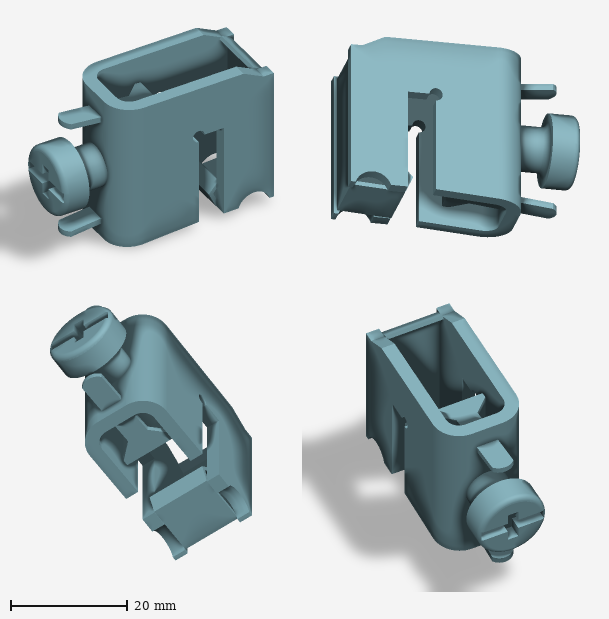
import cadquery as cq
import math


width = 16.0
depth = 31.0
height = 28.0
wall = 2.5
corner_radius = 5.0
front_drop = 1.0
rear_step_height = 26.0
rear_step_depth = 2.0
chamfer_depth = 4.0
slot_front = 16.0
slot_width = 5.0
slot_height = 18.0
relief_radius = 1.15
notch_y = 27.05
notch_half_width = 3.1
notch_height = 2.25
inner_width = width - 2 * wall

strip_thickness = 0.75
strip_outer_path = [
    (28.45, 26.55),
    (30.42, 25.55),
    (30.42, 0.6),
    (20.85, 0.1),
    (19.48, 3.05),
    (21.4, 5.2),
]

screw_z = 13.0
shank_diameter = 8.0
head_diameter = 13.0
head_front = 10.0
head_length = 5.0
head_rounding = 1.0
cross_width = 2.0
cross_length = 12.0
cross_height = 6.1
cross_depth = 2.5

plate_rear = 12.0
plate_thickness = 1.1
plate_width = 10.0
tab_width = 4.05
tab_tip = 7.0
tab_rounding_depth = 1.0
tab_offset = 10.65
tab_slope = math.radians(6)
plate_front = plate_rear - plate_thickness


def side_prism(prism_width):
    """Workplane with local axes (Y, Z), placed so that an extrusion is centred on X = 0."""
    return cq.Workplane("YZ").workplane(offset=-prism_width / 2)


def offset_path(path, distance):
    """Shift an open path to its left with mitred corners."""
    headings = [
        math.atan2(end[1] - start[1], end[0] - start[0])
        for start, end in zip(path, path[1:])
    ]
    before = headings[:1] + headings
    after = headings + headings[-1:]
    shifted = []
    for (y, z), arriving, leaving in zip(path, before, after):
        turn = math.remainder(leaving - arriving, 2 * math.pi)
        normal = arriving + turn / 2 + math.pi / 2
        reach = distance / math.cos(turn / 2)
        shifted.append((y + reach * math.cos(normal), z + reach * math.sin(normal)))
    return shifted


def make_strip():
    inner_path = offset_path(strip_outer_path, -strip_thickness)
    outline = strip_outer_path + inner_path[::-1]
    return side_prism(inner_width).polyline(outline).close().extrude(inner_width)


def make_u_channel():
    """Side walls and front wall, open at the rear, with rounded front corners."""
    full_height = height + front_drop
    outer = (
        cq.Workplane("XY", origin=(0, 0, -front_drop))
        .rect(width, 2 * depth)
        .extrude(full_height)
        .edges("|Z and <Y").fillet(corner_radius)
        .translate((0, depth, 0))
    )
    cavity = (
        cq.Workplane("XY", origin=(0, 0, -front_drop))
        .rect(inner_width, 2 * depth)
        .extrude(full_height)
        .edges("|Z and <Y").fillet(corner_radius - wall)
        .translate((0, depth + wall, 0))
    )
    return outer.cut(cavity)


def make_side_outline():
    """Side silhouette of the housing, with the rail slot and the bottom notch."""
    slot_rear = slot_front + slot_width
    body = (
        side_prism(width)
        .moveTo(0, -front_drop)
        .lineTo(slot_front, 0)
        .lineTo(slot_front, slot_height)
        .lineTo(slot_rear, slot_height)
        .lineTo(slot_rear, 0)
        .lineTo(notch_y - notch_half_width, 0)
        .threePointArc((notch_y, notch_height), (notch_y + notch_half_width, 0))
        .lineTo(depth, 0)
        .lineTo(depth, rear_step_height)
        .lineTo(depth - rear_step_depth, rear_step_height)
        .lineTo(depth - rear_step_depth - chamfer_depth, height)
        .lineTo(0, height)
        .close()
        .extrude(width)
    )
    relief = side_prism(width).center(slot_front, slot_height).circle(relief_radius).extrude(width)
    return body.cut(relief)


def make_screw():
    shank_radius = shank_diameter / 2
    head_radius = head_diameter / 2
    head_rear = head_front - head_length
    body = (
        cq.Workplane("XY")
        .moveTo(0, plate_front)
        .lineTo(shank_radius, plate_front)
        .lineTo(shank_radius, -head_rear + head_rounding)
        .radiusArc((shank_radius + head_rounding, -head_rear), -head_rounding)
        .lineTo(head_radius, -head_rear)
        .lineTo(head_radius, -head_front + head_rounding)
        .radiusArc((head_radius - head_rounding, -head_front), head_rounding)
        .lineTo(0, -head_front)
        .close()
        .revolve(360, (0, 0, 0), (0, 1, 0))
    )
    for arm_length, arm_height in ((cross_length, cross_width), (cross_width, cross_height)):
        arm = cq.Workplane("XY").box(arm_length, cross_depth, arm_height)
        body = body.cut(arm.translate((0, -head_front + cross_depth / 2, 0)))
    return body.translate((0, 0, screw_z))


def make_pressure_plate():
    """Bracket profile across the full width, trimmed to its T-shaped plan outline."""
    half_thickness = plate_thickness / math.cos(tab_slope) / 2
    tip_height = tab_offset + tab_tip * math.tan(tab_slope)
    rear_height = tab_offset - plate_rear * math.tan(tab_slope)
    front_height = tab_offset - plate_front * math.tan(tab_slope)
    upper_half = [
        (plate_rear, rear_height + half_thickness),
        (-tab_tip, tip_height + half_thickness),
        (-tab_tip, tip_height - half_thickness),
        (plate_front, front_height - half_thickness),
    ]
    lower_half = [(y, -z) for y, z in reversed(upper_half)]
    bracket = side_prism(plate_width).polyline(upper_half + lower_half).close().extrude(plate_width)

    half_plate = plate_width / 2
    half_tab = tab_width / 2
    taper_end = plate_front - (half_plate - half_tab)
    arc_start = -tab_tip + tab_rounding_depth
    plan = (
        cq.Workplane("XY")
        .moveTo(-half_plate, plate_rear)
        .lineTo(-half_plate, plate_front)
        .lineTo(-half_tab, taper_end)
        .lineTo(-half_tab, arc_start)
        .threePointArc((0, -tab_tip), (half_tab, arc_start))
        .lineTo(half_tab, taper_end)
        .lineTo(half_plate, plate_front)
        .lineTo(half_plate, plate_rear)
        .close()
        .extrude(height, both=True)
    )
    return bracket.intersect(plan).translate((0, 0, screw_z))


def make_housing(screw, pressure_plate):
    """Frame and strip in one piece; the screw and the tabs fill matching openings."""
    frame = make_u_channel().intersect(make_side_outline())
    return frame.union(make_strip()).cut(screw).cut(pressure_plate)


screw = make_screw()
pressure_plate = make_pressure_plate()
housing = make_housing(screw, pressure_plate)

result = cq.Compound.makeCompound([housing.val(), screw.val(), pressure_plate.val()])